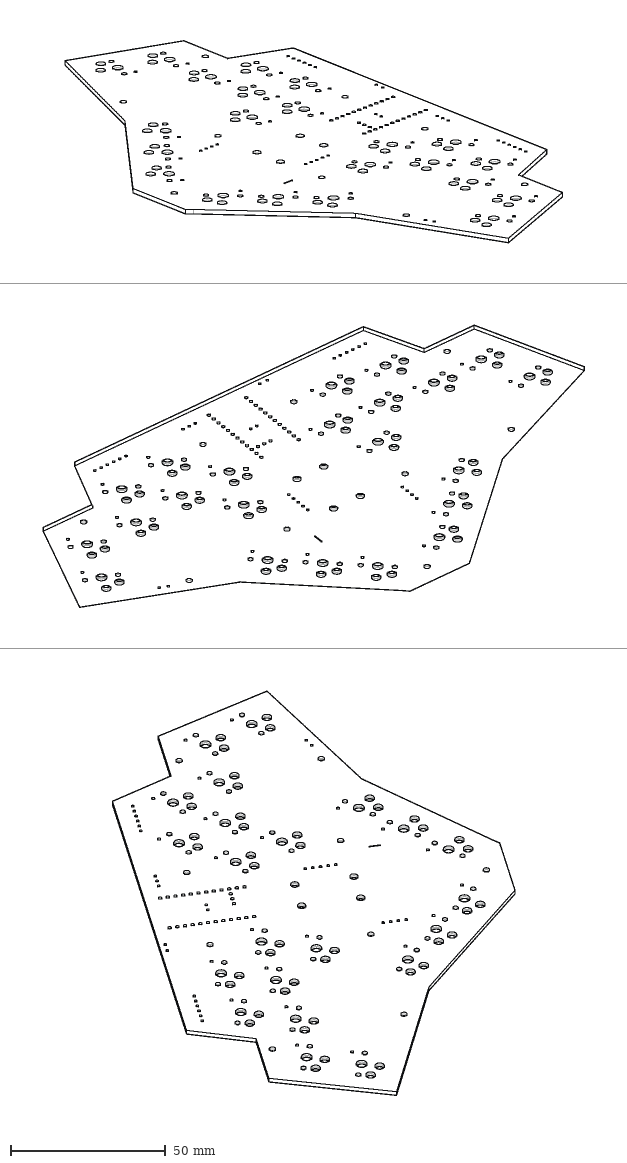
import cadquery as cq
import math

THICKNESS = 1.6
HALF_WIDTH = 102.5
HALF_DEPTH = 59.0

TOP_HALF_WIDTH = 58.6
NOTCH_X = 67.2
SHOULDER_X = 87.5
SHOULDER_Y = 38.0
TIP_Y = -1.0
BEND_X = 53.3
BEND_Y = -22.0
BOTTOM_LEFT_X = -11.5
BOTTOM_RIGHT_X = 12.7
CLIPPED_CORNER = (14.5, -57.2)

HOLES_MIDDLE_X = 0.5

KEY_PITCH = 18.0
COLUMN_TILT = 22.5
THUMB_TILT = 42.5
COLUMN_STARTS = [(27.3, 9.6), (40.2, 25.6), (60.5, 23.4), (87.0, 7.2)]
THUMB_START = (12.5, -42.2)
THUMB_COUNT = 3
THUMB_PITCH = 17.8

STEM_DIAMETER = 3.5
PEG_DIAMETER = 1.7
PEG_OFFSET = 5.5
SOCKET_DIAMETER = 3.0
SOCKET_PLACES = [(0, -6.0), (-5.0, -3.9)]
PIN_DIAMETER = 0.98
PIN_PLACE = (5.3, 4.0)

SCREW_DIAMETER = 2.0
SCREW_PAIRS = [(73.8, 33.8), (65.4, -11.3), (18.5, 42.8), (24.0, -9.0)]
FRONT_SCREW = (HOLES_MIDDLE_X, -52.0)
POST_DIAMETER = 2.7
POST_SPACING_X = 10.9
POST_SPACING_Y = 19.5
POST_MIDDLE_Y = 0.2

CONTROLLER_SPAN = 15.2
PITCHES_ACROSS = 6
PIN_PITCH = CONTROLLER_SPAN / PITCHES_ACROSS
CONTROLLER_DIAMETER = 1.09
CONTROLLER_PINS = 12
CONTROLLER_HALF_SPAN = CONTROLLER_SPAN / 2
CONTROLLER_MIDDLE_Y = 40.0
INNER_PINS = 3
INNER_ROW_Y = CONTROLLER_MIDDLE_Y - 3.5 * PIN_PITCH
MIDDLE_PINS = 2
HEADER_DIAMETER = 0.85
EDGE_ROW_Y = 53.0
EDGE_ROW_X = 48.5
EDGE_PINS = 6
SHORT_ROW_X = 16.6
SHORT_PINS = 3
RIGHT_COLUMN = (13.0, 0)
RIGHT_COLUMN_PINS = 5
LEFT_COLUMN = (-18.7, -17.8)
LEFT_COLUMN_PINS = 4

BUTTON_DIAMETER = 0.85
BUTTON_SPACING = 3.0
BUTTON_PINS = 2
BUTTONS = [((-16.6, 57.0), 0), ((74.5, -9.0), 23)]

SLOT_WIDTH = 0.3
SLOT_LENGTH = 3.7
SLOT_CENTER = (19.5, -19.3)


def both_sides(points):
    return [(HOLES_MIDDLE_X + side * x, y) for x, y in points for side in (-1, 1)]


def turned(point, angle):
    """Turn a point about the origin, counter-clockwise in degrees."""
    c = math.cos(math.radians(angle))
    s = math.sin(math.radians(angle))
    return (point[0] * c - point[1] * s, point[0] * s + point[1] * c)


def shifted(point, offset):
    return (point[0] + offset[0], point[1] + offset[1])


def row(center, count, pitch, angle=0):
    """Evenly spaced points on a line through its center."""
    steps = [(i - (count - 1) / 2) * pitch for i in range(count)]
    return [shifted(center, turned((step, 0), angle)) for step in steps]


def drill(plate, points, diameter):
    return plate.cut(
        cq.Workplane("XY").pushPoints(points).circle(diameter / 2).extrude(THICKNESS, both=True)
    )


def make_plate():
    outline = [
        (-TOP_HALF_WIDTH, HALF_DEPTH),
        (TOP_HALF_WIDTH, HALF_DEPTH),
        (NOTCH_X, SHOULDER_Y),
        (SHOULDER_X, SHOULDER_Y),
        (HALF_WIDTH, TIP_Y),
        (BEND_X, BEND_Y),
        CLIPPED_CORNER,
        (BOTTOM_RIGHT_X, -HALF_DEPTH),
        (BOTTOM_LEFT_X, -HALF_DEPTH),
        (-BEND_X, BEND_Y),
        (-HALF_WIDTH, TIP_Y),
        (-SHOULDER_X, SHOULDER_Y),
        (-NOTCH_X, SHOULDER_Y),
    ]
    return cq.Workplane("XY").polyline(outline).close().extrude(THICKNESS / 2, both=True)


def switch_places():
    """Center and tilt of every switch on both halves."""
    right_half = []
    for lower in COLUMN_STARTS:
        upper = shifted(lower, turned((0, KEY_PITCH), COLUMN_TILT))
        right_half += [(lower, COLUMN_TILT), (upper, COLUMN_TILT)]
    for i in range(THUMB_COUNT):
        step = turned((i * THUMB_PITCH, 0), THUMB_TILT)
        right_half.append((shifted(THUMB_START, step), THUMB_TILT))
    left_half = [((-x, y), -tilt) for (x, y), tilt in right_half]
    return [((x + HOLES_MIDDLE_X, y), tilt) for (x, y), tilt in right_half + left_half]


def drill_switches(plate):
    pattern = [
        (STEM_DIAMETER, [(0, 0)]),
        (PEG_DIAMETER, [(-PEG_OFFSET, 0), (PEG_OFFSET, 0)]),
        (SOCKET_DIAMETER, SOCKET_PLACES),
        (PIN_DIAMETER, [PIN_PLACE]),
    ]
    places = switch_places()
    for diameter, offsets in pattern:
        points = [shifted(center, turned(o, tilt)) for center, tilt in places for o in offsets]
        plate = drill(plate, points, diameter)
    return plate


def drill_mounting(plate):
    plate = drill(plate, both_sides(SCREW_PAIRS) + [FRONT_SCREW], SCREW_DIAMETER)
    posts = both_sides([(POST_SPACING_X / 2, POST_MIDDLE_Y + y * POST_SPACING_Y / 2) for y in (-1, 1)])
    return drill(plate, posts, POST_DIAMETER)


def drill_controller(plate):
    points = []
    for side in (-1, 1):
        center = (HOLES_MIDDLE_X + side * CONTROLLER_HALF_SPAN, CONTROLLER_MIDDLE_Y)
        points += row(center, CONTROLLER_PINS, PIN_PITCH, 90)
    inner_x = HOLES_MIDDLE_X + CONTROLLER_HALF_SPAN - (INNER_PINS + 1) / 2 * PIN_PITCH
    inner_center = (inner_x, INNER_ROW_Y)
    points += row(inner_center, INNER_PINS, PIN_PITCH)
    plate = drill(plate, points, CONTROLLER_DIAMETER)
    middle_pair = row((HOLES_MIDDLE_X, CONTROLLER_MIDDLE_Y), MIDDLE_PINS, PIN_PITCH)
    return drill(plate, middle_pair, HEADER_DIAMETER)


def drill_headers(plate):
    points = row((-EDGE_ROW_X, EDGE_ROW_Y), EDGE_PINS, PIN_PITCH)
    points += row((EDGE_ROW_X, EDGE_ROW_Y), EDGE_PINS, PIN_PITCH)
    points += row((SHORT_ROW_X, EDGE_ROW_Y), SHORT_PINS, PIN_PITCH)
    points += row(RIGHT_COLUMN, RIGHT_COLUMN_PINS, PIN_PITCH, 90)
    points += row(LEFT_COLUMN, LEFT_COLUMN_PINS, PIN_PITCH, 90)
    return drill(plate, points, HEADER_DIAMETER)


def drill_buttons(plate):
    points = []
    for center, angle in BUTTONS:
        points += row(center, BUTTON_PINS, BUTTON_SPACING, angle)
    return drill(plate, points, BUTTON_DIAMETER)


def cut_slot(plate):
    slot = (
        cq.Workplane("XY")
        .center(*SLOT_CENTER)
        .slot2D(SLOT_LENGTH, SLOT_WIDTH, 90)
        .extrude(THICKNESS, both=True)
    )
    return plate.cut(slot)


result = make_plate()
result = drill_switches(result)
result = drill_mounting(result)
result = drill_controller(result)
result = drill_headers(result)
result = drill_buttons(result)
result = cut_slot(result)